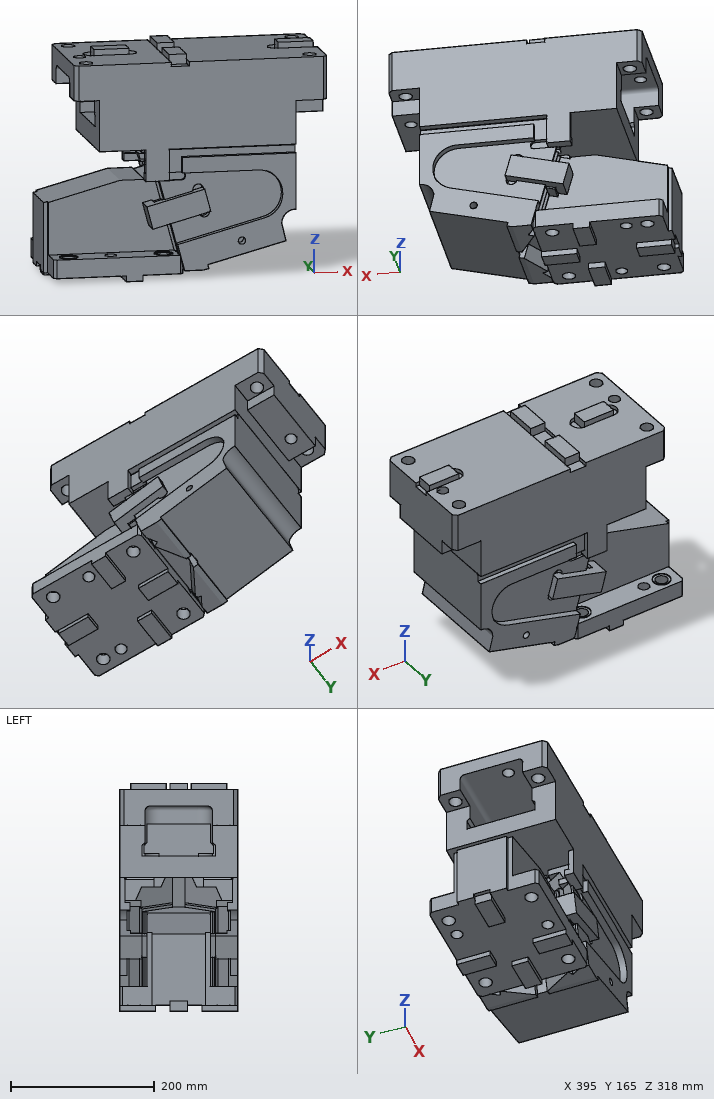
import cadquery as cq
import math


LENGTH = 395.0
HEIGHT = 318.0
HALF_WIDTH = 82.5
KEY_RISE = 8.3
KEY_LENGTH = 49.8
KEY_WIDTH = 24.5
KEY_SLOT_WIDTH = 25.5
KEY_SLOT_DEPTH = 6.0
BOLT_Y = 62.5
BOLT_DIAMETER = 18.5
PIN_DIAMETER = 16.5
FAR = 790.0
REACH = 197.5

SLOPE = 15.0
GUIDE_X = 158.0
GUIDE_Z = 138.5
VEE_ANGLE = 30.0
VEE_HALF_WIDTH = 69.5
VEE_FLAT_HALF = 8.5
PLATE_THICKNESS = 8.0
PLATE_OUTER_Y = 55.0
PLATE_TOP_V = 4.0
PLATE_STEP_U = PLATE_THICKNESS / math.cos(math.radians(VEE_ANGLE))

HOOK_FRONT_U = -28.0
HOOK_BACK_U = 57.3
HOOK_TOP_V = -27.0
HOOK_BOTTOM_V = -60.0
HOOK_INNER_Y = 51.5
HOOK_HEAD_BACK_U = -14.2
HOOK_SHANK_INNER_Y = 67.5
RELIEF_RADIUS = 7.5
RELIEF_FLOOR_Y = 61.2

HOLDER_LEFT = 35.0
HOLDER_TOP = HEIGHT - KEY_RISE
HOLDER_BOTTOM = 186.5
NOSE_BOTTOM = 259.5
NECK_LEFT = 70.5
NECK_RIGHT = 350.5
TAIL_BOTTOM = 248.5
CORNER_CHAMFER = 6.0
STOP_BOTTOM = 225.5
STOP_HALF_WIDTH = 51.5
POCKET_FLOOR = 216.5
POCKET_TOP = 286.5
POCKET_END = 331.8
POCKET_HALF = 47.0
POCKET_FLARE_HALF = 51.5
FLARE_TOP = 236.0
FLARE_BOTTOM = 231.5
POCKET_CORNER_RADIUS = 21.0
POCKET_TOP_RADIUS = 6.7
CROSS_SLOT_LEFT = 172.5
CROSS_KEY_INNER_Y = 17.5
FOOT_LEFT = 136.3
FOOT_RIGHT = 170.0
FOOT_BOTTOM = 141.5
LEDGE_HALF_WIDTH = 75.0
KEEPER_TOP = 151.5
KEEPER_INNER_Y = 68.5
FRONT_HOLE_INSET = 20.0
REAR_HOLE_INSET = 21.5
FRONT_KEY_X = 102.0
REAR_KEY_X = 364.0
FRONT_PIN_Y = -17.5
REAR_PIN_Y = 22.5

SLIDE_RIGHT = NECK_RIGHT
SHOULDER_LEFT = 159.0
SHOULDER_BOTTOM = 154.5
SHOULDER_CHAMFER = 2.5
LEDGE_TOP = 173.8
LEDGE_LEFT = 188.5
SLIDE_BOTTOM = 12.2
HEEL_FLAT_END = (218.5, SLIDE_BOTTOM)
HEEL_TIP = (226.5, 14.2)
UNDERSIDE_FRONT = (224.8, 19.8)
UNDERSIDE_REAR = (336.0, 49.5)
HOLLOW_START = (330.2, 74.0)
HOLLOW_MIDDLE = (335.5, 87.5)
HOLLOW_END = (SLIDE_RIGHT, 93.5)
CHANNEL_END = 175.5
CHANNEL_HALF = 34.5
STEM_LEFT = 187.5
STEM_RIGHT = 308.0
STEM_HALF = 27.3
BLOCK_TOP = 261.0
BLOCK_BOTTOM = 220.0
BLOCK_HALF = 44.2
BLOCK_FLARE_HALF = 48.5
VEE_STEP_Z = 146.5
VEE_NECK_HALF = 52.5
GROOVE_RIGHT = 194.7
GROOVE_BOTTOM = 140.0
RECESS_FLOOR_Y = 72.3
RECESS_RADIUS = 34.8
RECESS_CENTER_X = 296.5
TAP_X = 273.5
TAP_Z = 52.0
TAP_RADIUS = 5.0
TAP_DEPTH = 15.8

DRIVER_LEFT = 5.5
DRIVER_BOTTOM = KEY_RISE
DRIVER_HALF = 44.2
DRIVER_PLATE_OUTER_Y = 49.8
DRIVER_PLATE_THICKNESS = 4.7
PAD_HALF = 37.0
FLAT_LEFT = 107.5
FLAT_RIGHT = 142.2
FLAT_TOP = 137.0
LEDGE_START_U = -14.2
FLANGE_RIGHT = 190.0
FLANGE_TOP = 34.8
FLANGE_CHAMFER = 4.5
SLIDE_GAP = 0.6
LUG_FRONT_U = -13.5
LUG_HALF = 66.8
LUG_BOTTOM_V = -62.0
LUG_TOP_V = -31.0
BASE_KEY_SLOT_TOP = 14.5
CROSS_KEY_LEFT = 108.5
CROSS_KEY_RIGHT = 132.5
BASE_CROSS_KEY_INNER_Y = 32.5
DRIVER_BOLT_XS = (30.5, 165.5)
COUNTERBORE_DIAMETER = 26.0
COUNTERBORE_DEPTH = 1.0
DRIVER_PINS = ((60.5, BOLT_Y), (90.5, -BOLT_Y))


def box(x0, x1, y0, y1, z0, z1):
    """Axis-aligned block between two opposite corners."""
    return cq.Workplane("XY").box(x1 - x0, y1 - y0, z1 - z0, centered=False).translate((x0, y0, z0))


def both_sides(shape):
    """A shape and its mirror image across the XZ plane."""
    return shape.union(shape.mirror("XZ"))


def side_plane(y):
    """Plane parallel to XZ whose local axes are X and Z."""
    return cq.Plane(origin=(0, y, 0), xDir=(1, 0, 0), normal=(0, -1, 0))


def centered_profile(workplane_outline, half_width):
    """Extrude an XZ outline to both sides of the middle plane."""
    return workplane_outline.extrude(half_width, both=True)


def slope_point(u, v):
    """X and Z of a point given in the inclined frame."""
    angle = math.radians(SLOPE)
    x = GUIDE_X + u * math.cos(angle) - v * math.sin(angle)
    z = GUIDE_Z + u * math.sin(angle) + v * math.cos(angle)
    return x, z


def slope_prism(plan, v_bottom, v_top):
    """Prism on a (u, y) outline, running square to the slope from v_bottom to v_top."""
    angle = math.radians(SLOPE)
    x, z = slope_point(0, v_bottom)
    plane = cq.Plane(
        origin=(x, 0, z),
        xDir=(math.cos(angle), 0, math.sin(angle)),
        normal=(-math.sin(angle), 0, math.cos(angle)),
    )
    return cq.Workplane(plane).polyline(plan).close().extrude(v_top - v_bottom)


def slope_box(u0, u1, y0, y1, v0, v1):
    """Block aligned with the inclined frame."""
    return slope_prism([(u0, y0), (u1, y0), (u1, y1), (u0, y1)], v0, v1)


def vee_u(y):
    """Slope position of the slide's concave vee face at distance y from the middle."""
    return (VEE_HALF_WIDTH - y) * math.tan(math.radians(VEE_ANGLE))


def vee_plates(face_offset_u, outer_y, thickness, v_top):
    """Pair of plates in front of a vee face, their outer ends square to the face."""
    angle = math.radians(VEE_ANGLE)
    end_y = outer_y - thickness * math.sin(angle)
    front_u = face_offset_u - thickness / math.cos(angle)
    plate = slope_prism(
        [
            (vee_u(outer_y) + face_offset_u, outer_y),
            (vee_u(end_y) + front_u, end_y),
            (vee_u(VEE_FLAT_HALF) + front_u, VEE_FLAT_HALF),
            (vee_u(VEE_FLAT_HALF) + face_offset_u, VEE_FLAT_HALF),
        ],
        -REACH,
        v_top,
    )
    return both_sides(plate)


def make_holder():
    outline = cq.Workplane(side_plane(0)).polyline(
        [
            (HOLDER_LEFT, HOLDER_TOP),
            (LENGTH, HOLDER_TOP),
            (LENGTH, TAIL_BOTTOM),
            (NECK_RIGHT, TAIL_BOTTOM),
            (NECK_RIGHT, HOLDER_BOTTOM),
            (NECK_LEFT, HOLDER_BOTTOM),
            (NECK_LEFT, NOSE_BOTTOM),
            (HOLDER_LEFT, NOSE_BOTTOM),
        ]
    )
    body = centered_profile(outline.close(), HALF_WIDTH)
    body = body.edges("|Z and (<X or >X)").chamfer(CORNER_CHAMFER)
    stop = box(NECK_RIGHT, LENGTH, -STOP_HALF_WIDTH, STOP_HALF_WIDTH, STOP_BOTTOM, TAIL_BOTTOM)
    body = body.union(stop)

    body = body.cut(holder_pocket())
    body = body.cut(box(FOOT_RIGHT, POCKET_END, -STEM_HALF, STEM_HALF, HOLDER_BOTTOM, POCKET_FLOOR))

    foot = box(FOOT_LEFT, FOOT_RIGHT, LEDGE_HALF_WIDTH, HALF_WIDTH, FOOT_BOTTOM, HOLDER_BOTTOM)
    keeper = box(FOOT_LEFT, FOOT_RIGHT, KEEPER_INNER_Y, HALF_WIDTH, FOOT_BOTTOM, KEEPER_TOP)
    body = body.union(both_sides(foot.union(keeper)))

    body = add_holder_keys(body)

    front_x = HOLDER_LEFT + FRONT_HOLE_INSET
    rear_x = LENGTH - REAR_HOLE_INSET
    for x, pin_y in ((front_x, FRONT_PIN_Y), (rear_x, REAR_PIN_Y)):
        top = cq.Workplane("XY").workplane(offset=STOP_BOTTOM)
        body = body.cut(top.pushPoints([(x, BOLT_Y), (x, -BOLT_Y)]).circle(BOLT_DIAMETER / 2).extrude(FAR))
        body = body.cut(top.center(x, pin_y).circle(PIN_DIAMETER / 2).extrude(FAR))
    return body


def holder_pocket():
    main = box(0, POCKET_END, -POCKET_HALF, POCKET_HALF, POCKET_FLOOR, POCKET_TOP)
    main = main.edges("|Z and >X").fillet(POCKET_CORNER_RADIUS)
    main = main.faces(">Z").edges("not(<X)").fillet(POCKET_TOP_RADIUS)
    flare = (
        cq.Workplane("YZ")
        .polyline(
            [
                (-POCKET_FLARE_HALF, POCKET_FLOOR),
                (POCKET_FLARE_HALF, POCKET_FLOOR),
                (POCKET_FLARE_HALF, FLARE_BOTTOM),
                (POCKET_HALF, FLARE_TOP),
                (-POCKET_HALF, FLARE_TOP),
                (-POCKET_FLARE_HALF, FLARE_BOTTOM),
            ]
        )
        .close()
        .extrude(POCKET_END - POCKET_CORNER_RADIUS)
    )
    return main.union(flare)


def add_holder_keys(body):
    slot_floor = HOLDER_TOP - KEY_SLOT_DEPTH
    half_key = KEY_WIDTH / 2
    slot_right = CROSS_SLOT_LEFT + KEY_SLOT_WIDTH
    body = body.cut(box(CROSS_SLOT_LEFT, slot_right, -HALF_WIDTH, HALF_WIDTH, slot_floor, HOLDER_TOP))
    cross_key = box(
        CROSS_SLOT_LEFT,
        CROSS_SLOT_LEFT + KEY_WIDTH,
        CROSS_KEY_INNER_Y,
        CROSS_KEY_INNER_Y + KEY_LENGTH,
        slot_floor,
        HEIGHT,
    )
    body = body.union(both_sides(cross_key))
    slot_length = KEY_LENGTH + KEY_SLOT_WIDTH
    for x in (FRONT_KEY_X, REAR_KEY_X):
        slot = (
            cq.Workplane("XY", origin=(x, 0, slot_floor))
            .slot2D(slot_length, KEY_SLOT_WIDTH)
            .extrude(KEY_SLOT_DEPTH)
        )
        key = box(x - KEY_LENGTH / 2, x + KEY_LENGTH / 2, -half_key, half_key, slot_floor, HEIGHT)
        body = body.cut(slot).union(key)
    run_out = box(
        REAR_KEY_X + KEY_LENGTH / 2, LENGTH, -KEY_SLOT_WIDTH / 2, KEY_SLOT_WIDTH / 2, slot_floor, HOLDER_TOP
    )
    return body.cut(run_out)


def slide_outline():
    """XZ outline of the slide below its stem, with the inclined front and underside."""
    angle = math.radians(SLOPE)
    front_top_x = GUIDE_X - (SHOULDER_BOTTOM - GUIDE_Z) * math.tan(angle)
    front_bottom_x = GUIDE_X + (GUIDE_Z - SLIDE_BOTTOM) * math.tan(angle)
    return (
        cq.Workplane(side_plane(0))
        .moveTo(SHOULDER_LEFT, HOLDER_BOTTOM)
        .lineTo(SHOULDER_LEFT, SHOULDER_BOTTOM)
        .lineTo(front_top_x, SHOULDER_BOTTOM)
        .lineTo(front_bottom_x, SLIDE_BOTTOM)
        .lineTo(*HEEL_FLAT_END)
        .lineTo(*HEEL_TIP)
        .lineTo(*UNDERSIDE_FRONT)
        .lineTo(*UNDERSIDE_REAR)
        .lineTo(*HOLLOW_START)
        .threePointArc(HOLLOW_MIDDLE, HOLLOW_END)
        .lineTo(SLIDE_RIGHT, HOLDER_BOTTOM)
        .close()
    )


def make_slide():
    body = centered_profile(slide_outline(), HALF_WIDTH)

    ledge = box(0, FAR, LEDGE_HALF_WIDTH, FAR, LEDGE_TOP, HOLDER_BOTTOM)
    front_step = box(0, LEDGE_LEFT, LEDGE_HALF_WIDTH, FAR, KEEPER_TOP, HOLDER_BOTTOM)
    body = body.cut(both_sides(ledge.union(front_step)))
    body = body.faces(">Z").edges("<X or <Y or >Y").chamfer(SHOULDER_CHAMFER)

    body = body.cut(box(0, CHANNEL_END, -CHANNEL_HALF, CHANNEL_HALF, LEDGE_TOP, HOLDER_BOTTOM))

    vee = slope_prism(
        [
            (-REACH, -VEE_HALF_WIDTH),
            (0, -VEE_HALF_WIDTH),
            (vee_u(VEE_FLAT_HALF), -VEE_FLAT_HALF),
            (vee_u(VEE_FLAT_HALF), VEE_FLAT_HALF),
            (0, VEE_HALF_WIDTH),
            (-REACH, VEE_HALF_WIDTH),
        ],
        -REACH,
        REACH,
    )
    zones = (
        box(0, FAR, -FAR, FAR, -FAR, VEE_STEP_Z)
        .union(box(0, FAR, -VEE_NECK_HALF, VEE_NECK_HALF, VEE_STEP_Z, SHOULDER_BOTTOM))
        .union(box(0, FAR, -FAR, FAR, SHOULDER_BOTTOM, LEDGE_TOP))
        .union(box(0, FAR, -CHANNEL_HALF, CHANNEL_HALF, LEDGE_TOP, HOLDER_BOTTOM))
    )
    body = body.cut(vee.intersect(zones))
    body = body.union(wear_plates())

    stem = box(STEM_LEFT, STEM_RIGHT, -STEM_HALF, STEM_HALF, HOLDER_BOTTOM, BLOCK_BOTTOM)
    body = body.union(stem).union(sliding_block())

    body = body.cut(both_sides(side_recess()))
    body = body.cut(both_sides(keeper_groove()))
    tap = cq.Workplane(side_plane(HALF_WIDTH)).center(TAP_X, TAP_Z).circle(TAP_RADIUS).extrude(TAP_DEPTH)
    body = body.cut(both_sides(tap))

    for v in (HOOK_TOP_V, HOOK_BOTTOM_V):
        x, z = slope_point(HOOK_BACK_U - RELIEF_RADIUS, v)
        relief = (
            cq.Workplane(side_plane(HALF_WIDTH))
            .center(x, z)
            .circle(RELIEF_RADIUS)
            .extrude(HALF_WIDTH - RELIEF_FLOOR_Y)
        )
        body = body.cut(both_sides(relief))
    head = slope_box(HOOK_FRONT_U, HOOK_HEAD_BACK_U, HOOK_INNER_Y, HALF_WIDTH, HOOK_BOTTOM_V, HOOK_TOP_V)
    shank = slope_box(
        HOOK_HEAD_BACK_U, HOOK_BACK_U, HOOK_SHANK_INNER_Y, HALF_WIDTH, HOOK_BOTTOM_V, HOOK_TOP_V
    )
    return body.union(both_sides(head.union(shank)))


def wear_plates():
    """Slide's plates on both vee faces."""
    plates = vee_plates(0, PLATE_OUTER_Y, PLATE_THICKNESS, PLATE_TOP_V)
    return plates.intersect(centered_profile(slide_outline(), HALF_WIDTH))


def sliding_block():
    return (
        cq.Workplane("YZ", origin=(STEM_LEFT, 0, 0))
        .polyline(
            [
                (-BLOCK_FLARE_HALF, BLOCK_BOTTOM),
                (BLOCK_FLARE_HALF, BLOCK_BOTTOM),
                (BLOCK_FLARE_HALF, FLARE_BOTTOM),
                (BLOCK_HALF, FLARE_TOP),
                (BLOCK_HALF, BLOCK_TOP),
                (-BLOCK_HALF, BLOCK_TOP),
                (-BLOCK_HALF, FLARE_TOP),
                (-BLOCK_FLARE_HALF, FLARE_BOTTOM),
            ]
        )
        .close()
        .extrude(STEM_RIGHT - STEM_LEFT)
    )


def side_recess():
    """Recess open to the front: level top, round end, bottom parallel to the slope."""
    angle = math.radians(SLOPE)
    center_z = KEEPER_TOP - RECESS_RADIUS
    tangent_x = RECESS_CENTER_X + RECESS_RADIUS * math.sin(angle)
    tangent_z = center_z - RECESS_RADIUS * math.cos(angle)
    front_z = tangent_z - tangent_x * math.tan(angle)
    return (
        cq.Workplane(side_plane(HALF_WIDTH))
        .moveTo(0, KEEPER_TOP)
        .lineTo(RECESS_CENTER_X, KEEPER_TOP)
        .threePointArc((RECESS_CENTER_X + RECESS_RADIUS, center_z), (tangent_x, tangent_z))
        .lineTo(0, front_z)
        .close()
        .extrude(HALF_WIDTH - RECESS_FLOOR_Y)
    )


def keeper_groove():
    radius = (KEEPER_TOP - GROOVE_BOTTOM) / 2
    return (
        cq.Workplane(side_plane(HALF_WIDTH))
        .moveTo(0, GROOVE_BOTTOM)
        .lineTo(GROOVE_RIGHT - radius, GROOVE_BOTTOM)
        .threePointArc((GROOVE_RIGHT, GROOVE_BOTTOM + radius), (GROOVE_RIGHT - radius, KEEPER_TOP))
        .lineTo(0, KEEPER_TOP)
        .close()
        .extrude(HALF_WIDTH - KEEPER_INNER_Y)
    )


def make_driver():
    ledge_start = slope_point(LEDGE_START_U, 0)
    foot_x = GUIDE_X + (GUIDE_Z - DRIVER_BOTTOM) * math.tan(math.radians(SLOPE))
    roof_front_z = FLAT_TOP - FLAT_LEFT * math.tan(math.radians(SLOPE))
    outline = cq.Workplane(side_plane(0)).polyline(
        [
            (0, DRIVER_BOTTOM),
            (0, roof_front_z),
            (FLAT_LEFT, FLAT_TOP),
            (FLAT_RIGHT, FLAT_TOP),
            ledge_start,
            (GUIDE_X, GUIDE_Z),
            (foot_x, DRIVER_BOTTOM),
        ]
    )
    body = centered_profile(outline.close(), DRIVER_HALF)
    body = body.intersect(box(0, FLANGE_RIGHT, -FAR, FAR, 0, FAR))
    body = body.cut(both_sides(box(0, DRIVER_LEFT, PAD_HALF, FAR, 0, FAR)))

    side_u = vee_u(DRIVER_HALF) - PLATE_STEP_U
    nose_u = vee_u(VEE_FLAT_HALF) - PLATE_STEP_U
    prow = slope_prism(
        [
            (LEDGE_START_U, -DRIVER_HALF),
            (side_u, -DRIVER_HALF),
            (nose_u, -VEE_FLAT_HALF),
            (nose_u, VEE_FLAT_HALF),
            (side_u, DRIVER_HALF),
            (LEDGE_START_U, DRIVER_HALF),
        ],
        -REACH,
        0,
    )
    prow = prow.union(vee_plates(-PLATE_STEP_U, DRIVER_PLATE_OUTER_Y, DRIVER_PLATE_THICKNESS, 0))
    body = body.union(prow.intersect(box(0, FAR, -FAR, FAR, FLANGE_TOP, FAR)))

    body = body.union(slope_box(LUG_FRONT_U, -SLIDE_GAP, -LUG_HALF, LUG_HALF, LUG_BOTTOM_V, LUG_TOP_V))

    body = body.union(driver_flange())

    half_key = KEY_WIDTH / 2
    body = body.cut(box(0, DRIVER_LEFT, -half_key, half_key, DRIVER_BOTTOM, BASE_KEY_SLOT_TOP))
    for x in (DRIVER_LEFT, FLANGE_RIGHT - KEY_LENGTH):
        body = body.union(box(x, x + KEY_LENGTH, -half_key, half_key, 0, DRIVER_BOTTOM))
    cross_key = box(CROSS_KEY_LEFT, CROSS_KEY_RIGHT, BASE_CROSS_KEY_INNER_Y, HALF_WIDTH, 0, DRIVER_BOTTOM)
    return body.union(both_sides(cross_key))


def driver_flange():
    flange = box(DRIVER_LEFT, FLANGE_RIGHT, -HALF_WIDTH, HALF_WIDTH, DRIVER_BOTTOM, FLANGE_TOP)
    flange = flange.edges("|Z").chamfer(FLANGE_CHAMFER)
    clearance = slope_box(-SLIDE_GAP, REACH, -FAR, FAR, -REACH, 0)
    flange = flange.cut(clearance)
    top = cq.Workplane("XY", origin=(0, 0, FLANGE_TOP))
    bolts = [(x, side * BOLT_Y) for x in DRIVER_BOLT_XS for side in (-1, 1)]
    flange = flange.cut(top.pushPoints(bolts).circle(BOLT_DIAMETER / 2).extrude(-FLANGE_TOP))
    flange = flange.cut(top.pushPoints(bolts).circle(COUNTERBORE_DIAMETER / 2).extrude(-COUNTERBORE_DEPTH))
    return flange.cut(top.pushPoints(DRIVER_PINS).circle(PIN_DIAMETER / 2).extrude(-FLANGE_TOP))


holder = make_holder().solids()
slide = make_slide().solids()
driver = make_driver().solids()
result = cq.Compound.makeCompound([holder.val(), slide.val(), driver.val()])